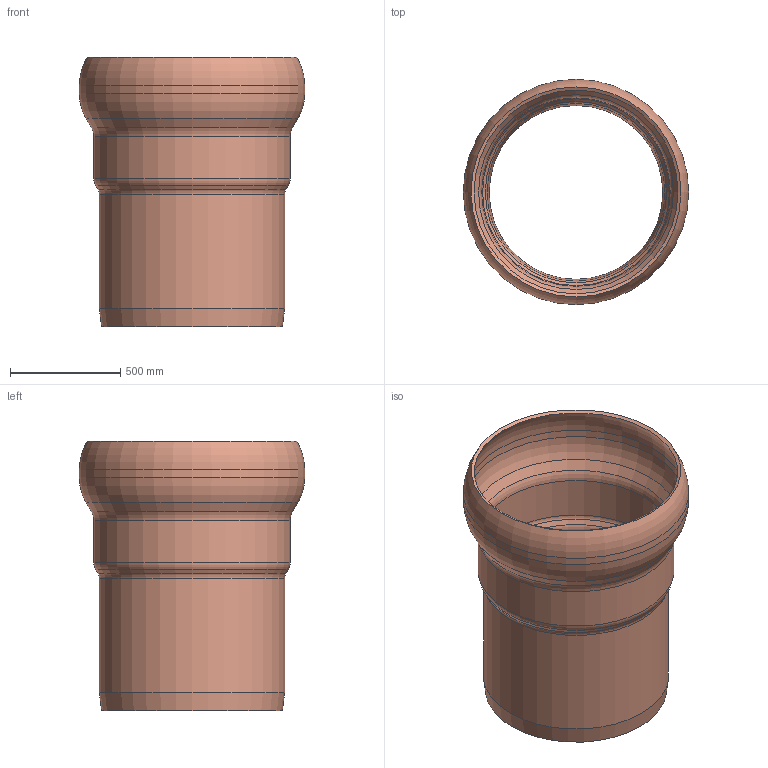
import cadquery as cq
import math


wall = 16.0
total_height = 1220.0

spigot_radius = 840.0 / 2
socket_radius = 890.0 / 2
bulge_radius = 1022.01 / 2

taper_height = 80.0
taper_depth = 10.0

neck_bottom = 600.0
neck_slope = math.radians(30.0)
neck_tight_bend = 40.0

band_bottom = 1057.0
band_top = 1093.0
chamber_slope = math.radians(30.0)
chamber_root_bend = 80.0
chamber_lower_bend = 227.0
chamber_upper_bend = 248.0
mouth_angle = math.asin((total_height - band_top) / chamber_upper_bend)


def arc_point(center, radius, angle):
    """Point (r, z) on an arc, with the angle counted from the outward radial direction."""
    return (center[0] + radius * math.cos(angle), center[1] + radius * math.sin(angle))


def step_height(radius_gain, slope, flare_bend, return_bend):
    """Height of a widening step made of two arcs joined by a tangent cone."""
    bends = flare_bend + return_bend
    cone_gain = radius_gain - bends * (1 - math.cos(slope))
    return bends * math.sin(slope) + cone_gain / math.tan(slope)


def widening_step(start, end, slope, flare_bend, return_bend):
    """Edges of a step from start up to end: flare arc, tangent cone, return arc."""
    flare_center = (start[0] + flare_bend, start[1])
    return_center = (end[0] - return_bend, end[1])
    flare_mid = arc_point(flare_center, flare_bend, math.pi - slope / 2)
    cone_bottom = arc_point(flare_center, flare_bend, math.pi - slope)
    cone_top = arc_point(return_center, return_bend, -slope)
    return_mid = arc_point(return_center, return_bend, -slope / 2)
    return [
        arc_edge(start, flare_mid, cone_bottom),
        line_edge(cone_bottom, cone_top),
        arc_edge(cone_top, return_mid, end),
    ]


def section_vector(point):
    """Place an (r, z) section point in the XZ plane."""
    return cq.Vector(point[0], 0, point[1])


def line_edge(start, end):
    return cq.Edge.makeLine(section_vector(start), section_vector(end))


def arc_edge(start, middle, end):
    return cq.Edge.makeThreePointArc(
        section_vector(start), section_vector(middle), section_vector(end)
    )


neck_top = neck_bottom + step_height(
    socket_radius - spigot_radius, neck_slope, neck_tight_bend, neck_tight_bend + wall
)
chamber_bottom = band_bottom - step_height(
    bulge_radius - socket_radius, chamber_slope, chamber_root_bend, chamber_lower_bend
)


def wall_face(depth):
    """Edges of the wall face lying `depth` inside the outer face, from bottom to mouth.

    Also returns the lowest and the uppermost point. Arcs at different depths share
    their centres, so the wall keeps its thickness around the bends.
    """
    spigot = spigot_radius - depth
    socket = socket_radius - depth
    bulge = bulge_radius - depth
    upper_bend = chamber_upper_bend - depth
    upper_center = (bulge - upper_bend, band_top)

    bottom = (spigot - taper_depth, 0)
    taper_top = (spigot, taper_height)
    neck_start = (spigot, neck_bottom)
    neck_end = (socket, neck_top)
    chamber_start = (socket, chamber_bottom)
    band_start = (bulge, band_bottom)
    band_end = (bulge, band_top)
    mouth_mid = arc_point(upper_center, upper_bend, mouth_angle / 2)
    mouth = arc_point(upper_center, upper_bend, mouth_angle)

    edges = [line_edge(bottom, taper_top), line_edge(taper_top, neck_start)]
    edges += widening_step(
        neck_start,
        neck_end,
        neck_slope,
        neck_tight_bend + depth,
        neck_tight_bend + wall - depth,
    )
    edges.append(line_edge(neck_end, chamber_start))
    edges += widening_step(
        chamber_start,
        band_start,
        chamber_slope,
        chamber_root_bend + depth,
        chamber_lower_bend - depth,
    )
    edges.append(line_edge(band_start, band_end))
    edges.append(arc_edge(band_end, mouth_mid, mouth))
    return edges, bottom, mouth


def wall_section():
    """Closed wall outline; the mouth rim stands square to the wall, the lower rim is flat."""
    outer_edges, outer_bottom, outer_mouth = wall_face(0)
    inner_edges, inner_bottom, inner_mouth = wall_face(wall)
    mouth_rim = line_edge(outer_mouth, inner_mouth)
    lower_rim = line_edge(inner_bottom, outer_bottom)
    outline = outer_edges + [mouth_rim] + inner_edges[::-1] + [lower_rim]
    return cq.Wire.assembleEdges(outline)


full_turn = 360.0
pipe = cq.Solid.revolve(wall_section(), [], full_turn, cq.Vector(0, 0, 0), cq.Vector(0, 0, 1))
result = cq.Workplane("XY").newObject([pipe])